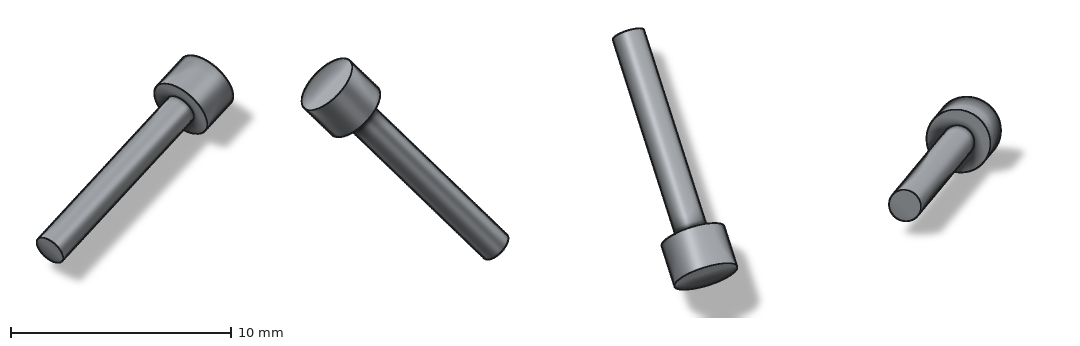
import cadquery as cq

total_length = 12.0
head_diameter = total_length / 4
shank_diameter = head_diameter / 2
head_length = total_length / 6
shank_length = total_length - head_length


def cylinder_along_y(diameter, start_y, length):
    """Solid cylinder on the Y axis, running from start_y toward +Y."""
    base = cq.Workplane("XZ", origin=(0, start_y, 0))
    return base.circle(diameter / 2).extrude(-length)


shank_start = -total_length / 2
head_start = shank_start + shank_length

shank = cylinder_along_y(shank_diameter, shank_start, shank_length)
head = cylinder_along_y(head_diameter, head_start, head_length)

result = shank.union(head)